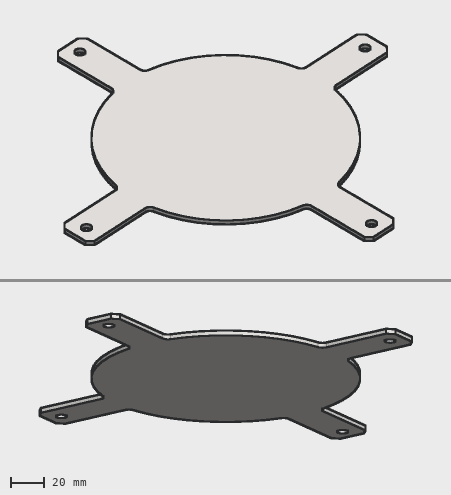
import cadquery as cq

span = 260.0
thickness = 3.0
disc_radius = 80.0
arm_width = 25.0
tip_chamfer = 4.0
root_fillet = 4.0
hole_diameter = 6.5
hole_edge_distance = 10.0

hole_offset = span / 2 - hole_edge_distance


def crossing_bar(length, width):
    """Flat bar through the centre, with its four corners cut off."""
    bar = cq.Workplane("XY").box(length, width, thickness, centered=(True, True, False))
    return bar.edges("|Z").chamfer(tip_chamfer)


disc = cq.Workplane("XY").circle(disc_radius).extrude(thickness)
plate = disc.union(crossing_bar(span, arm_width)).union(crossing_bar(arm_width, span))

root_reach = disc_radius + root_fillet
root_zone = cq.selectors.BoxSelector(
    (-root_reach, -root_reach, -thickness),
    (root_reach, root_reach, 2 * thickness),
)
plate = plate.edges("|Z").edges(root_zone).fillet(root_fillet)

hole_centres = [(hole_offset, 0), (0, hole_offset), (-hole_offset, 0), (0, -hole_offset)]
holes = cq.Workplane("XY").pushPoints(hole_centres).circle(hole_diameter / 2).extrude(thickness)

result = plate.cut(holes)